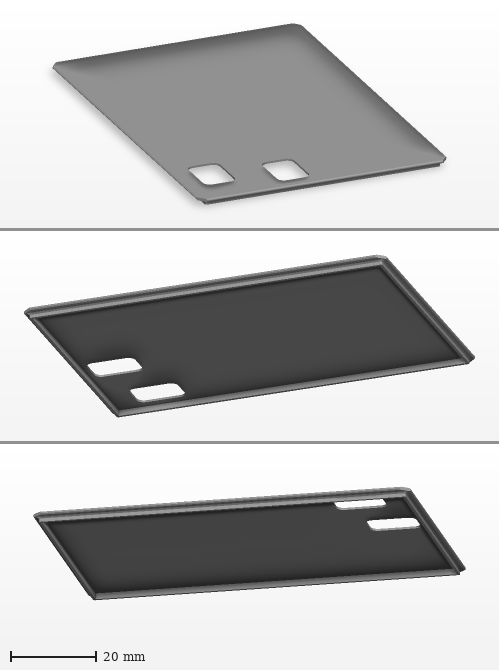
import cadquery as cq

length = 90.8
width = 63.8
flange_height = 0.75
corner_cut_x = 2.3
corner_cut_y = 1.9
edge_bevel = 0.3
end_bulge = 0.4

rim_height = 1.2
rim_inset_x = 1.3
rim_inset_y = 1.9
rim_thickness = 0.7
rim_corner_radius = 0.45
root_slope = 0.4

web_thickness = 0.5

window_length = 12.1
window_width = 8.1
window_radius = 1.8
window_centers = [(36.0, -6.1), (31.5, -23.1)]

rim_length = length - 2 * rim_inset_x
rim_width = width - 2 * rim_inset_y


def make_flange():
    """Plate with bulged ends, bevelled long sides and straight cut corners."""
    half_x = length / 2
    half_y = width / 2
    end_x = half_x - end_bulge
    lengthwise = (
        cq.Workplane("XZ")
        .moveTo(-end_x, 0)
        .lineTo(end_x, 0)
        .threePointArc((half_x, flange_height / 2), (end_x, flange_height))
        .lineTo(-end_x, flange_height)
        .threePointArc((-half_x, flange_height / 2), (-end_x, 0))
        .close()
        .extrude(half_y, both=True)
    )
    crosswise = (
        cq.Workplane("YZ")
        .rect(width, flange_height)
        .extrude(half_x, both=True)
        .edges("|X")
        .chamfer(edge_bevel)
        .translate((0, 0, flange_height / 2))
    )
    corner_outline = [
        (half_x - corner_cut_x, half_y),
        (half_x, half_y - corner_cut_y),
        (half_x, -half_y + corner_cut_y),
        (half_x - corner_cut_x, -half_y),
        (-half_x + corner_cut_x, -half_y),
        (-half_x, -half_y + corner_cut_y),
        (-half_x, half_y - corner_cut_y),
        (-half_x + corner_cut_x, half_y),
    ]
    blank = cq.Workplane("XY").polyline(corner_outline).close().extrude(flange_height)
    return blank.intersect(lengthwise).intersect(crosswise)


def make_rim_block():
    """Solid block below the flange, sloped outward where it meets the flange."""
    block = (
        cq.Workplane("XY")
        .rect(rim_length, rim_width)
        .extrude(-rim_height)
        .edges("|Z")
        .fillet(rim_corner_radius)
    )
    root = (
        cq.Workplane("XY")
        .rect(rim_length + 2 * root_slope, rim_width + 2 * root_slope)
        .workplane(offset=-root_slope)
        .rect(rim_length, rim_width)
        .loft(ruled=True)
    )
    return block.union(root)


def make_recess():
    """Cutter that hollows the underside inside the rim, up to the web."""
    recess_depth = rim_height + flange_height - web_thickness
    return (
        cq.Workplane("XY", origin=(0, 0, -rim_height))
        .rect(rim_length - 2 * rim_thickness, rim_width - 2 * rim_thickness)
        .extrude(recess_depth)
    )


def make_windows():
    """Cutters for the two windows."""
    return (
        cq.Workplane("XY")
        .pushPoints(window_centers)
        .rect(window_length, window_width)
        .extrude(flange_height)
        .edges("|Z")
        .fillet(window_radius)
    )


result = make_flange().union(make_rim_block()).cut(make_recess()).cut(make_windows())